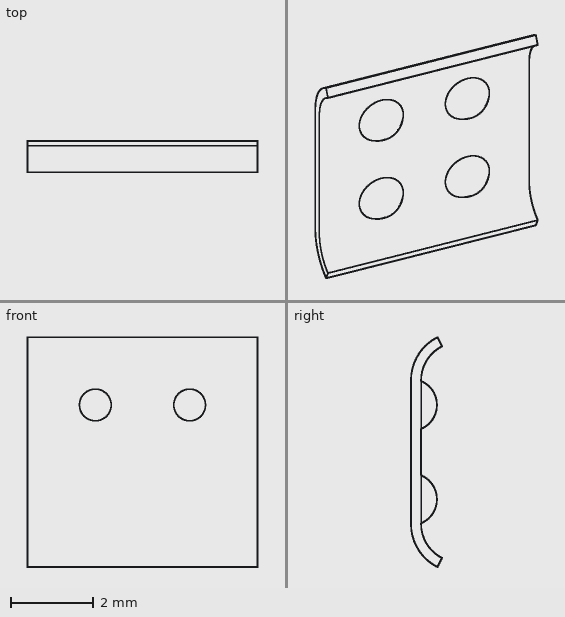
import cadquery as cq
import math

side = 5.59
depth = 0.76
thickness = 0.25
bend_radius = 1.175
dimple_radius = 0.385
dimple_pitch = 2.29
rim_fillet = 0.25

inner_bend_radius = bend_radius - thickness
lip_angle = math.acos((bend_radius - depth) / inner_bend_radius)
half_flat = side / 2 - bend_radius * math.sin(lip_angle)
dome_radius = dimple_radius + thickness


def lip_point(radius, angle, end):
    """Point (Y, Z) on the upper (end=1) or lower (end=-1) lip."""
    y = bend_radius - radius * math.cos(angle)
    z = half_flat + radius * math.sin(angle)
    return (y, end * z)


def make_plate():
    """Flat plate with both long edges curled toward +Y."""
    middle = lip_angle / 2
    outer, inner = bend_radius, inner_bend_radius
    return (
        cq.Workplane("YZ")
        .moveTo(0, -half_flat)
        .lineTo(0, half_flat)
        .threePointArc(lip_point(outer, middle, 1), lip_point(outer, lip_angle, 1))
        .lineTo(*lip_point(inner, lip_angle, 1))
        .threePointArc(lip_point(inner, middle, 1), (thickness, half_flat))
        .lineTo(thickness, -half_flat)
        .threePointArc(lip_point(inner, middle, -1), lip_point(inner, lip_angle, -1))
        .lineTo(*lip_point(outer, lip_angle, -1))
        .threePointArc(lip_point(outer, middle, -1), (0, -half_flat))
        .close()
        .extrude(side / 2, both=True)
    )


def ball_cap(radius, start_depth, x, z):
    """Cap of a ball centred on the front face, kept behind start_depth."""
    start_radius = math.sqrt(radius**2 - start_depth**2)
    profile = (
        cq.Workplane("XY")
        .moveTo(0, start_depth)
        .lineTo(start_radius, start_depth)
        .radiusArc((0, radius), -radius)
        .close()
    )
    return profile.revolve(360, (0, 0), (0, 1)).translate((x, 0, z))


def rim_cutter(x, z):
    """Flared mouth blending the hollow smoothly into the front face."""
    blend_reach = dimple_radius + rim_fillet
    mouth_radius = math.sqrt(blend_reach**2 - rim_fillet**2)
    shrink = dimple_radius / blend_reach
    tangent_point = (mouth_radius * shrink, rim_fillet * shrink)
    profile = (
        cq.Workplane("XY")
        .lineTo(mouth_radius, 0)
        .radiusArc(tangent_point, rim_fillet)
        .lineTo(0, tangent_point[1])
        .close()
    )
    return profile.revolve(360, (0, 0), (0, 1)).translate((x, 0, z))


result = make_plate()
half_pitch = dimple_pitch / 2
centres = [(x, z) for x in (-half_pitch, half_pitch) for z in (-half_pitch, half_pitch)]

for x, z in centres:
    result = result.union(ball_cap(dome_radius, thickness / 2, x, z))

for x, z in centres:
    result = result.cut(ball_cap(dimple_radius, 0, x, z))
    if z < 0:
        result = result.cut(rim_cutter(x, z))